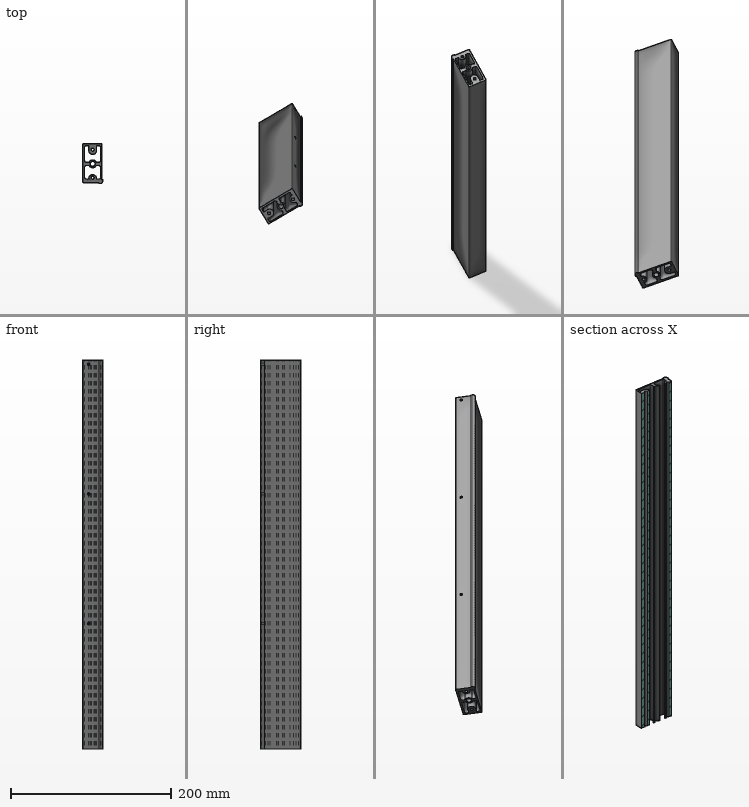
import cadquery as cq

WIDTH = 25.0
DEPTH = 50.0
LENGTH = 485.0

BEAD_SIDE = 5.0
BEAD_RADIUS = 3.0
BEAD_PROUD = 1.2

LEFT = -WIDTH / 2
RIGHT = WIDTH / 2 - BEAD_PROUD
BACK = DEPTH / 2
FRONT = -DEPTH / 2 + BEAD_PROUD
CORNER_RADIUS = 1.0
LEFT_WALL = 2.5
RIGHT_WALL = 1.7
CHAMBER_RADIUS = 1.5
BACK_WALL = 2.7
FRONT_WALL = 4.9

WEB_THICKNESS = 4.5
WEB_Y = -0.3
WEB_BOSS_Y = -0.2
BOSS_X = LEFT + 12.4
BOSS_RADIUS = 5.0
WEB_BORE_DIAMETER = 6.0
BACK_BOSS_Y = BACK - 8.5
BACK_SCREW_Y = BACK - 7.5
FRONT_BOSS_Y = FRONT + 5.2
FRONT_SCREW_Y = FRONT + 6.3
SCREW_DIAMETER = 3.5

CROSS_HOLE_DIAMETER = 3.0
CROSS_HOLE_X = LEFT + 7.4
CROSS_HOLE_COUNT = 3
CROSS_HOLE_PITCH = LENGTH / CROSS_HOLE_COUNT
CROSS_HOLE_END_GAP = 5.0


def bar(x_min, x_max, y_min, y_max):
    """Full-length rectangular bar between the given limits."""
    return (
        cq.Workplane("XY", origin=((x_min + x_max) / 2, (y_min + y_max) / 2, 0))
        .box(x_max - x_min, y_max - y_min, LENGTH)
    )


def rod(x, y, radius):
    """Full-length round rod at the given place."""
    return cq.Workplane("XY", origin=(x, y, -LENGTH / 2)).circle(radius).extrude(LENGTH)


def chamber(y_min, y_max):
    """Full-length chamber between the side walls, with rounded corners."""
    space = bar(LEFT + LEFT_WALL, RIGHT - RIGHT_WALL, y_min, y_max)
    return space.edges("|Z").fillet(CHAMBER_RADIUS)


def tube():
    """Rectangular tube with rounded corners and two chambers split by the web."""
    outer = bar(LEFT, RIGHT, FRONT, BACK).edges("|Z").fillet(CORNER_RADIUS)
    back_chamber = chamber(WEB_Y + WEB_THICKNESS / 2, BACK - BACK_WALL)
    front_chamber = chamber(FRONT + FRONT_WALL, WEB_Y - WEB_THICKNESS / 2)
    return outer.cut(back_chamber).cut(front_chamber)


def bosses():
    """Round bosses on the web and the front wall, and a stemmed boss on the back wall."""
    web_boss = rod(BOSS_X, WEB_BOSS_Y, BOSS_RADIUS)
    front_boss = rod(BOSS_X, FRONT_BOSS_Y, BOSS_RADIUS)
    back_boss = rod(BOSS_X, BACK_BOSS_Y, BOSS_RADIUS)
    back_stem = bar(BOSS_X - BOSS_RADIUS, BOSS_X + BOSS_RADIUS, BACK_BOSS_Y, BACK - BACK_WALL / 2)
    return web_boss.union(front_boss).union(back_boss).union(back_stem)


def bores():
    """Full-length bores of the three bosses."""
    screw_radius = SCREW_DIAMETER / 2
    return (
        rod(BOSS_X, WEB_BOSS_Y, WEB_BORE_DIAMETER / 2)
        .union(rod(BOSS_X, BACK_SCREW_Y, screw_radius))
        .union(rod(BOSS_X, FRONT_SCREW_Y, screw_radius))
    )


def cross_holes():
    """Row of holes through the front wall."""
    top = LENGTH / 2 - CROSS_HOLE_END_GAP
    places = [(CROSS_HOLE_X, top - i * CROSS_HOLE_PITCH) for i in range(CROSS_HOLE_COUNT)]
    return (
        cq.Workplane("XZ", origin=(0, FRONT, 0))
        .pushPoints(places)
        .circle(CROSS_HOLE_DIAMETER / 2)
        .extrude(-FRONT_WALL)
    )


def bead():
    """Full-length square bead with its outer corner rounded."""
    right = WIDTH / 2
    front = -DEPTH / 2
    square = bar(right - BEAD_SIDE, right, front, front + BEAD_SIDE)
    return square.edges("|Z and >X and <Y").fillet(BEAD_RADIUS)


result = tube().union(bosses()).union(bead()).cut(bores()).cut(cross_holes())